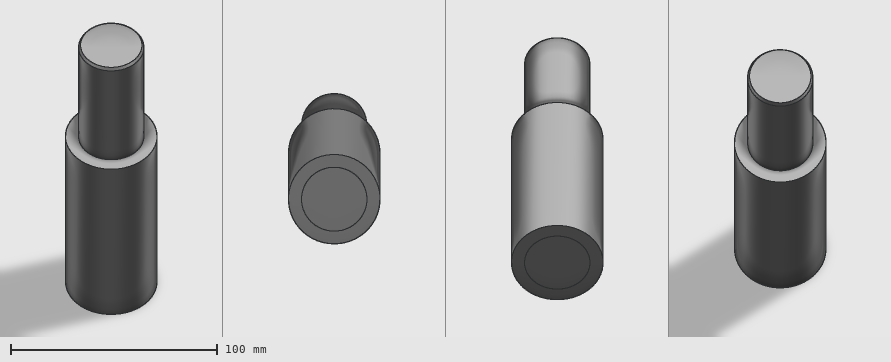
import cadquery as cq

TOTAL_LENGTH = 165.1
SLEEVE_DIAMETER = 44.4
SLEEVE_LENGTH = 101.5
PIN_DIAMETER = 31.7

BEVEL_HEIGHT = 1.5
BEVEL_INSET = 1.0


def make_sleeve():
    """Plain tube standing on Z = 0, bored through to fit the pin."""
    return (
        cq.Workplane("XY")
        .circle(SLEEVE_DIAMETER / 2)
        .circle(PIN_DIAMETER / 2)
        .extrude(SLEEVE_LENGTH)
    )


def make_pin():
    """Round pin filling the bore and rising above the sleeve to a bevelled end."""
    pin_radius = PIN_DIAMETER / 2
    profile = (
        cq.Workplane("XZ")
        .moveTo(0, 0)
        .lineTo(pin_radius, 0)
        .lineTo(pin_radius, TOTAL_LENGTH - BEVEL_HEIGHT)
        .lineTo(pin_radius - BEVEL_INSET, TOTAL_LENGTH)
        .lineTo(0, TOTAL_LENGTH)
        .close()
    )
    return profile.revolve(360, (0, 0, 0), (0, 1, 0))


sleeve = make_sleeve()
pin = make_pin()

result = cq.Compound.makeCompound([sleeve.val(), pin.val()])